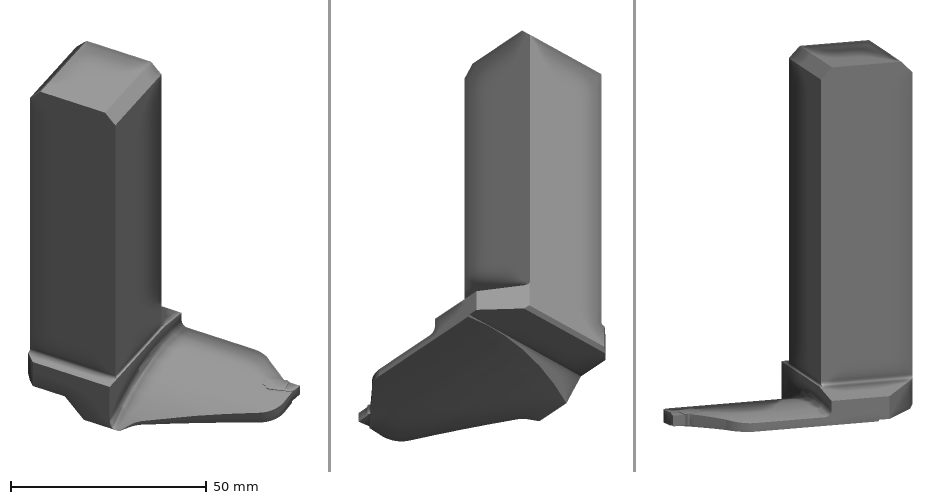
import cadquery as cq
import math

total_height = 97.0
shank_side = 24.8
shank_front = 4.1
shank_back = shank_front + shank_side
top_chamfer = 3.0

foot_length = 25.4
foot_depth = 38.7
shoulder_height = 13.2
front_fillet = 0.7
back_fillet = 1.4
back_edge_height = 11.5
back_corner_cut = 9.6
foot_break_y = foot_depth - back_corner_cut
front_corner_cut = 3.0
heel_height = 5.5
heel_end = 12.3
heel_chamfer = 1.0

under_radius = 91.2
under_axis_y = 31.1
under_peak = 5.4
upper_radius = 47.55
upper_axis_y = 27.5
upper_peak = 8.7
blade_end = 64.7
root_fillet = 1.7

insert_tip_x = 65.1
insert_tip_y = 29.1
insert_top = 8.8
insert_bottom = 5.8
rake_depth = 0.2

clearance = 1.0


def x_cylinder(radius, axis_y, peak, length):
    """Cylinder along X that reaches its highest point at the given peak."""
    return cq.Workplane("YZ").center(axis_y, peak - radius).circle(radius).extrude(length)


def make_footprint():
    """Plan outline shared by the foot and the blade."""
    return (
        cq.Workplane("XY")
        .moveTo(front_corner_cut, 0)
        .lineTo(28.1, 0)
        .lineTo(30.5, 2.3)
        .threePointArc((32.0, 3.4), (33.8, 4.2))
        .lineTo(60.5, 15.5)
        .threePointArc((63.6, 18.0), (blade_end, 21.3))
        .lineTo(blade_end, 25.7)
        .lineTo(52.9, 35.4)
        .threePointArc((50.0, 37.75), (46.7, foot_depth))
        .lineTo(back_corner_cut, foot_depth)
        .lineTo(0, foot_break_y)
        .lineTo(0, front_corner_cut)
        .close()
        .extrude(total_height)
    )


def make_shank():
    """Square bar whose top is chamfered on the two X sides, starting inside the foot."""
    return (
        cq.Workplane("XY")
        .box(shank_side, shank_side, total_height - back_edge_height, centered=False)
        .faces(">Z").edges("|Y").chamfer(top_chamfer)
        .translate((0, shank_front, back_edge_height))
    )


def make_foot_block():
    """Foot side profile with the sloping back shoulder."""
    return (
        cq.Workplane("YZ")
        .polyline([
            (0, 0),
            (foot_depth, 0),
            (foot_depth, back_edge_height),
            (foot_break_y, shoulder_height),
            (0, shoulder_height),
        ])
        .close()
        .extrude(foot_length)
    )


def make_heel_cut():
    """Space below the raised heel, with a 45 degree run-out and a broken edge."""
    return (
        cq.Workplane("XZ")
        .polyline([
            (-clearance, -clearance),
            (heel_end + heel_height + clearance, -clearance),
            (heel_end, heel_height),
            (heel_chamfer, heel_height),
            (0, heel_height + heel_chamfer),
            (-clearance, heel_height + heel_chamfer),
        ])
        .close()
        .extrude(-foot_depth)
    )


def make_root_fillet():
    """Concave sweep between the foot wall and the curved blade top."""
    ring_radius = upper_radius + root_fillet
    axis_z = upper_peak - upper_radius
    arc_offset = root_fillet * (1 - math.sqrt(0.5))
    return (
        cq.Workplane("XZ", origin=(0, upper_axis_y, axis_z))
        .moveTo(foot_length, 0)
        .lineTo(foot_length, ring_radius)
        .threePointArc(
            (foot_length + arc_offset, upper_radius + arc_offset),
            (foot_length + root_fillet, upper_radius),
        )
        .lineTo(foot_length + root_fillet, 0)
        .close()
        .revolve(360, (0, 0, 0), (1, 0, 0))
    )


def make_shoulder_fillets():
    """Fillet strips where the shank meets the flat front and sloping back shoulders."""
    front = (
        cq.Workplane("YZ")
        .moveTo(shank_front - front_fillet, shoulder_height)
        .radiusArc((shank_front, shoulder_height + front_fillet), -front_fillet)
        .lineTo(shank_front, shoulder_height)
        .close()
        .extrude(shank_side)
    )

    slope = math.atan2(shoulder_height - back_edge_height, foot_depth - foot_break_y)
    tangent_length = back_fillet * math.tan((math.pi / 2 - slope) / 2)
    wall_base_z = shoulder_height + (foot_break_y - shank_back) * math.tan(slope)
    slope_end = (
        shank_back + tangent_length * math.cos(slope),
        wall_base_z - tangent_length * math.sin(slope),
    )
    back = (
        cq.Workplane("YZ")
        .moveTo(shank_back, wall_base_z + tangent_length)
        .radiusArc(slope_end, -back_fillet)
        .lineTo(slope_end[0], back_edge_height)
        .lineTo(shank_back, back_edge_height)
        .close()
        .extrude(shank_side)
    )

    step = foot_length - shank_side
    side = (
        cq.Workplane("XZ", origin=(0, shank_front, 0))
        .moveTo(shank_side, shoulder_height + step)
        .radiusArc((foot_length, shoulder_height), -step)
        .lineTo(shank_side, shoulder_height)
        .close()
        .extrude(-(foot_break_y - shank_front))
    )
    return front.union(back).union(side)


def make_insert_blank():
    """Full-height insert outline, which also shapes its seat."""
    return (
        cq.Workplane("XY", origin=(0, 0, insert_bottom))
        .polyline([
            (56.6, 24.8),
            (57.4, 24.8),
            (58.2, 24.0),
            (59.1, 24.0),
            (blade_end, 25.7),
            (insert_tip_x, insert_tip_y),
            (61.7, insert_tip_y),
            (61.3, 29.5),
            (56.6, 27.4),
        ])
        .close()
        .extrude(insert_top - insert_bottom)
    )


def make_insert(insert_blank):
    """Pointed insert with a lowered rake face at its cutting end."""
    rake = (
        cq.Workplane("XY", origin=(0, 0, insert_top - rake_depth))
        .polyline([
            (61.9, insert_tip_y + clearance),
            (62.5, 26.0),
            (insert_tip_x + clearance, 26.8),
            (insert_tip_x + clearance, insert_tip_y + clearance),
        ])
        .close()
        .extrude(clearance)
    )
    return insert_blank.cut(rake)


def make_holder(insert_blank):
    """Shank, foot and blade as one solid, with a seat for the insert."""
    upper = x_cylinder(upper_radius, upper_axis_y, upper_peak, blade_end)
    lower = x_cylinder(under_radius, under_axis_y, under_peak, blade_end)
    envelope = upper.union(make_foot_block()).union(make_root_fillet())
    base = make_footprint().intersect(envelope).cut(lower).cut(make_heel_cut())
    fillets = make_shoulder_fillets().intersect(make_footprint())
    holder = base.union(make_shank()).union(fillets)
    return holder.cut(insert_blank)


insert_blank = make_insert_blank()
insert = make_insert(insert_blank)
holder = make_holder(insert_blank)

result = cq.Compound.makeCompound([holder.val(), insert.val()])